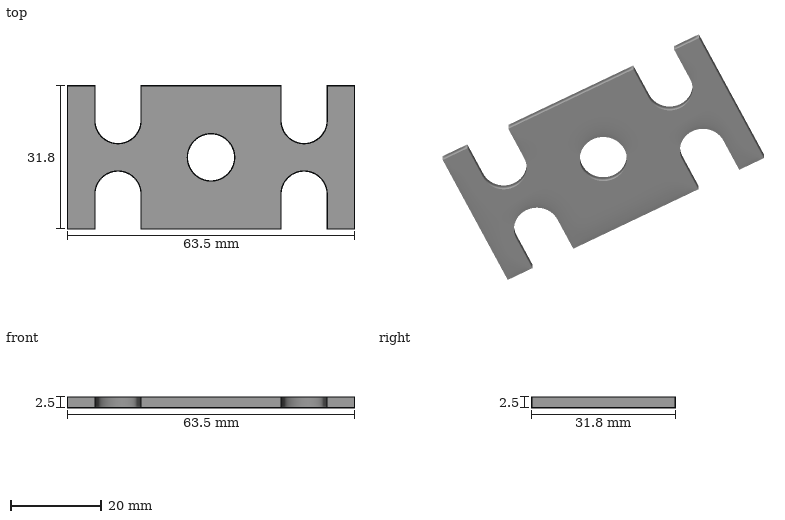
import cadquery as cq

length = 63.5
width = 31.75
thickness = 2.5

hole_diameter = 10.4

slot_width = 10.15
slot_depth = 12.8
slot_offset = 20.6


def open_slot(x, side):
    """Cutter for one slot; side is +1 for the +Y edge, -1 for the -Y edge."""
    radius = slot_width / 2
    edge_y = side * width / 2
    arc_start_y = edge_y - side * (slot_depth - radius)
    tip_y = edge_y - side * slot_depth
    return (
        cq.Workplane("XY")
        .moveTo(x - radius, edge_y)
        .lineTo(x - radius, arc_start_y)
        .threePointArc((x, tip_y), (x + radius, arc_start_y))
        .lineTo(x + radius, edge_y)
        .close()
        .extrude(thickness)
    )


plate = cq.Workplane("XY").box(length, width, thickness, centered=(True, True, False))
result = plate.faces(">Z").workplane().hole(hole_diameter)

for slot_x in (-slot_offset, slot_offset):
    for edge_side in (-1, 1):
        result = result.cut(open_slot(slot_x, edge_side))